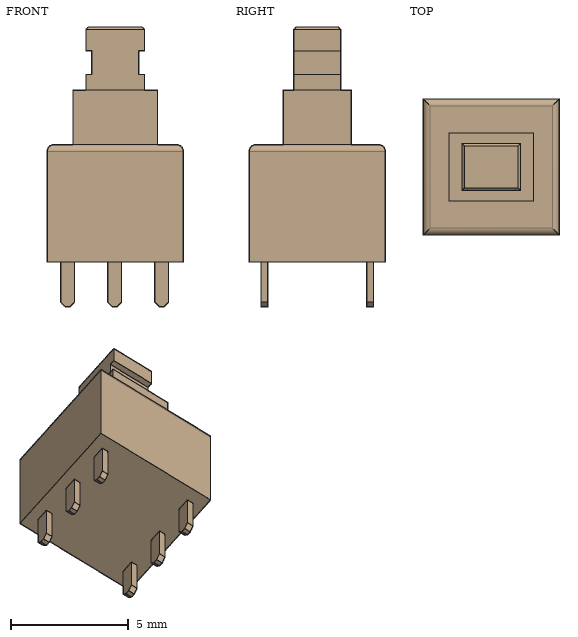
import cadquery as cq

body_side = 5.8
body_height = 5.0
body_edge_radius = 0.3

collar_width = 3.6
collar_depth = 2.9
collar_height = 2.31

plunger_width = 2.5
plunger_depth = 2.0
plunger_height = 2.69
plunger_chamfer = 0.11
notch_depth = 0.25
notch_height = 1.0
notch_offset = 0.68

pin_width = 0.6
pin_thickness = 0.3
pin_length = 1.9
pin_tip_chamfer = 0.2
pin_pitch = 2.0
pins_per_row = 3
row_count = 2
row_spacing = 4.5
pin_shift = -0.02

collar_top = body_height + collar_height


def block(width, depth, height, base_z):
    """Box centred on the Z axis, standing on base_z."""
    return (
        cq.Workplane("XY")
        .workplane(offset=base_z)
        .box(width, depth, height, centered=(True, True, False))
    )


def make_body():
    body = block(body_side, body_side, body_height, 0)
    return body.faces(">Z").edges().fillet(body_edge_radius)


def make_plunger():
    plunger = block(plunger_width, plunger_depth, plunger_height, collar_top)
    plunger = plunger.faces(">Z").edges().chamfer(plunger_chamfer)
    notch = block(2 * notch_depth, plunger_depth, notch_height, collar_top + notch_offset)
    for side in (-1, 1):
        plunger = plunger.cut(notch.translate((side * plunger_width / 2, 0, 0)))
    return plunger


def make_pins():
    pin = block(pin_width, pin_thickness, pin_length, -pin_length)
    pin = pin.faces("<Z").edges("|Y").chamfer(pin_tip_chamfer)
    layout = cq.Workplane("XY").center(pin_shift, 0).rarray(pin_pitch, row_spacing, pins_per_row, row_count)
    return layout.eachpoint(pin.val())


collar = block(collar_width, collar_depth, collar_height, body_height)
result = make_body().union(collar).union(make_plunger()).union(make_pins())